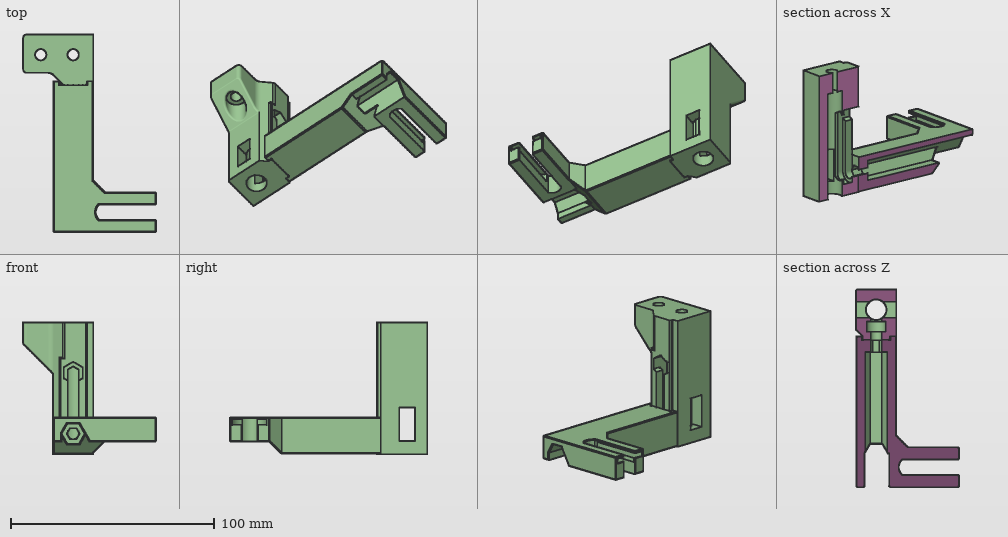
import cadquery as cq
import math

TOTAL_X = 65.5
TOTAL_Y = 97.5
POST_HEIGHT = 65.0

POST_WIDTH = 20.0
POST_RIGHT = 34.7
POST_LEFT = POST_RIGHT - POST_WIDTH
POST_CENTER = POST_RIGHT - POST_WIDTH / 2
SHOULDER_Y = -23.1
TONGUE_FRONT = -25.1
TONGUE_HALF = 6.8
TONGUE_CHAMFER = 0.7
KEY_TOP = POST_HEIGHT - 17.3
FLANGE_FRONT = -19.0
FLANGE_SIDE_HEIGHT = 10.5
FLANGE_CORNER_RADIUS = 1.95
NECK_RADIUS = 4.0
NECK_END = POST_LEFT + 0.4
SLOPE_FILLET = 1.0
MOUTH_FILLET = 1.0

HOLE_PITCH = 16.0
HOLE_Y = -10.0
HOLE_DIAMETER = 5.5
COUNTERBORE_DIAMETER = 10.0
HOLE_XS = (POST_CENTER - HOLE_PITCH, POST_CENTER)

WINDOW_WIDTH = 7.7
WINDOW_BOTTOM = 6.6
WINDOW_HEIGHT = 16.4

BOLT_Z = 10.1
BOLT_TRAVEL = 30.0
BOLT_SLOT = 5.5
NUT_FLATS = 9.4
NUT_LIP = 4.3
NUT_CHANNEL_DEPTH = 4.9
HEAD_FLATS = 9.9
HEAD_SEAT_WALL = 5.85
SEAT_Y = TONGUE_FRONT - HEAD_SEAT_WALL

FIT_GAP = 0.2
ARM_LEFT = POST_LEFT + FIT_GAP
ARM_RIGHT = POST_RIGHT - FIT_GAP
ARM_BOTTOM = FIT_GAP
ARM_TOP = 18.2
ARM_FRONT = -TOTAL_Y
ARM_CHAMFER = 0.5
SLOPE_RIM_DEPTH = 2 * ARM_CHAMFER
GROOVE_HALF = TONGUE_HALF + FIT_GAP

FORK_WIDTH = 19.8
FORK_BACK = ARM_FRONT + FORK_WIDTH
FORK_CENTER = ARM_FRONT + FORK_WIDTH / 2
FORK_BOTTOM = 6.2
WEB_LEG = 5.85
STEP_START = FORK_BACK + WEB_LEG
FOOT_LIMIT = FORK_BACK - 2.9
FORK_SLOT_WIDTH = 7.5
FORK_SLOT_END = 35.9
FORK_SLOT_END_RADIUS = 5.0

POCKET_HALF = 8.5
POCKET_ARC_X = 46.9
POCKET_FLOOR = 12.5
POCKET_ROOF = 17.2
STOP_THICKNESS = 0.9
STOP_TOP = 14.5


def box(x0, x1, y0, y1, z0, z1):
    """Axis-aligned block between two corners."""
    return cq.Workplane("XY").box(x1 - x0, y1 - y0, z1 - z0, centered=False).translate((x0, y0, z0))


def hexagon(across_flats, turn):
    """Corner points of a hexagon whose first corner lies at the angle turn, in degrees."""
    radius = across_flats / math.sqrt(3)
    angles = [math.radians(turn + 60 * i) for i in range(6)]
    return [(radius * math.cos(a), radius * math.sin(a)) for a in angles]


def near(point):
    """Selector of the edge whose centre is closest to a point."""
    return cq.selectors.NearestToPointSelector(point)


def along_y(y_front, x, z):
    """Workplane facing the front, so that negative extrusions run towards the back."""
    return cq.Workplane(cq.Plane(origin=(x, y_front, z), xDir=(1, 0, 0), normal=(0, -1, 0)))


def bolt_track(width, y_front, depth):
    """Upright slot with a round lower end and a peaked roof."""
    half = width / 2
    shoulder = BOLT_TRAVEL + half * math.tan(math.radians(30))
    peak = BOLT_TRAVEL + width / math.sqrt(3)
    return (
        along_y(y_front, POST_CENTER, BOLT_Z)
        .moveTo(-half, 0)
        .threePointArc((0, -half), (half, 0))
        .lineTo(half, shoulder)
        .lineTo(0, peak)
        .lineTo(-half, shoulder)
        .close()
        .extrude(-depth)
    )


def post_outline():
    """Plan of the post: flange, 45-degree neck and tongue."""
    mid_bend = math.radians(22.5)
    full_bend = math.radians(45)
    arc_start = NECK_END - NECK_RADIUS * math.sin(full_bend)
    arc_mid_x = arc_start + NECK_RADIUS * math.sin(mid_bend)
    arc_mid_y = FLANGE_FRONT - NECK_RADIUS * (1 - math.cos(mid_bend))
    arc_end_y = FLANGE_FRONT - NECK_RADIUS * (1 - math.cos(full_bend))
    diagonal_end_x = NECK_END + arc_end_y - TONGUE_FRONT
    return (
        cq.Workplane("XY")
        .lineTo(POST_RIGHT, 0)
        .lineTo(POST_RIGHT, SHOULDER_Y)
        .lineTo(POST_CENTER + TONGUE_HALF, SHOULDER_Y)
        .lineTo(POST_CENTER + TONGUE_HALF, TONGUE_FRONT)
        .lineTo(diagonal_end_x, TONGUE_FRONT)
        .lineTo(NECK_END, arc_end_y)
        .threePointArc((arc_mid_x, arc_mid_y), (arc_start, FLANGE_FRONT))
        .lineTo(0, FLANGE_FRONT)
        .close()
    )


def post_block():
    """Solid post with the flange sloping back to the post at 45 degrees underneath."""
    slope_top = POST_HEIGHT - FLANGE_SIDE_HEIGHT
    below_flange = (
        along_y(TONGUE_FRONT, 0, 0)
        .polyline([(0, 0), (POST_LEFT, 0), (POST_LEFT, slope_top - POST_LEFT), (0, slope_top)])
        .close()
        .extrude(TONGUE_FRONT)
    )
    block = post_outline().extrude(POST_HEIGHT).edges("|Z and <X").fillet(FLANGE_CORNER_RADIUS)
    block = block.cut(below_flange)
    slope_edges = block.faces(cq.selectors.ParallelDirSelector(cq.Vector(1, 0, 1))).edges()
    back_edge = block.edges(near((POST_LEFT, 0, POST_LEFT)))
    return block.newObject(slope_edges.vals() + back_edge.vals()).fillet(SLOPE_FILLET)


def tongue_key():
    """Corner block that squares off the lower length of the tongue."""
    left = POST_CENTER - TONGUE_HALF
    return box(left, POST_CENTER, TONGUE_FRONT, SHOULDER_Y, 0, KEY_TOP)


def mounting_holes():
    """Screw holes through the flange, each counterbored from below."""
    points = [(x, HOLE_Y) for x in HOLE_XS]
    through = cq.Workplane("XY").pushPoints(points).circle(HOLE_DIAMETER / 2).extrude(POST_HEIGHT)
    counterbore_top = POST_HEIGHT - FLANGE_SIDE_HEIGHT
    heads = cq.Workplane("XY").pushPoints(points).circle(COUNTERBORE_DIAMETER / 2).extrude(counterbore_top)
    return through.union(heads)


def nut_channel():
    """Slot for the bolt, a wider channel for its nut and the opening that admits the nut."""
    slot = bolt_track(BOLT_SLOT, TONGUE_FRONT, HOLE_Y - TONGUE_FRONT)
    channel = bolt_track(NUT_FLATS, TONGUE_FRONT + NUT_LIP, NUT_CHANNEL_DEPTH)
    opening = (
        along_y(TONGUE_FRONT, POST_CENTER, BOLT_Z + BOLT_TRAVEL)
        .polyline(hexagon(NUT_FLATS, 30))
        .close()
        .extrude(-NUT_LIP)
    )
    return slot.union(channel).union(opening)


def side_window():
    """Rectangular window through the post from side to side."""
    half = WINDOW_WIDTH / 2
    window_top = WINDOW_BOTTOM + WINDOW_HEIGHT
    return box(0, POST_RIGHT, HOLE_Y - half, HOLE_Y + half, WINDOW_BOTTOM, window_top)


def build_post():
    """Post with its flange, tongue, holes, nut channel and window."""
    post = post_block().union(tongue_key())
    front_edges = post.faces("<Y").edges("not (<Z or >Z)")
    post = post.newObject(front_edges.vals()).chamfer(TONGUE_CHAMFER)
    post = post.cut(mounting_holes())
    mouth_z = POST_HEIGHT - FLANGE_SIDE_HEIGHT - HOLE_XS[0]
    post = post.edges(near((HOLE_XS[0], HOLE_Y, mouth_z))).fillet(MOUTH_FILLET)
    return post.cut(nut_channel()).cut(side_window())


def underside_step(top):
    """Space below the given height in front of the 45-degree underside slope."""
    rise = top - ARM_BOTTOM
    return (
        cq.Workplane("YZ")
        .polyline([
            (ARM_FRONT, ARM_BOTTOM),
            (STEP_START, ARM_BOTTOM),
            (STEP_START - rise, top),
            (ARM_FRONT, top),
        ])
        .close()
        .extrude(TOTAL_X)
    )


def arm_plate():
    """L-shaped upper layer of the arm with a 45-degree web, chamfered along its outer edges."""
    plate = (
        cq.Workplane("XY", origin=(0, 0, FORK_BOTTOM))
        .polyline([
            (ARM_LEFT, SHOULDER_Y),
            (ARM_RIGHT, SHOULDER_Y),
            (ARM_RIGHT, FORK_BACK + WEB_LEG),
            (ARM_RIGHT + WEB_LEG, FORK_BACK),
            (TOTAL_X, FORK_BACK),
            (TOTAL_X, ARM_FRONT),
            (ARM_LEFT, ARM_FRONT),
        ])
        .close()
        .extrude(ARM_TOP - FORK_BOTTOM)
    )
    corners = plate.edges("|Z and (<Y or >X)")
    rims = plate.faces("<Z or >Z").edges("not >Y")
    return plate.newObject(corners.vals() + rims.vals()).chamfer(ARM_CHAMFER)


def arm_foot():
    """Deeper part of the arm behind the fork, ending in a 45-degree slope."""
    foot_top = FORK_BOTTOM + ARM_CHAMFER
    reach = FORK_BACK + WEB_LEG - FOOT_LIMIT
    foot = (
        cq.Workplane("XY", origin=(0, 0, ARM_BOTTOM))
        .polyline([
            (ARM_LEFT, SHOULDER_Y),
            (ARM_RIGHT, SHOULDER_Y),
            (ARM_RIGHT, FORK_BACK + WEB_LEG),
            (ARM_RIGHT + reach, FOOT_LIMIT),
            (ARM_LEFT, FOOT_LIMIT),
        ])
        .close()
        .extrude(foot_top - ARM_BOTTOM)
        .cut(underside_step(foot_top))
    )
    slope_edges = foot.faces("<Y").edges("not >Z")
    bottom_edges = foot.faces("<Z").edges("not (>Y or <Y)")
    return foot.newObject(slope_edges.vals() + bottom_edges.vals()).chamfer(ARM_CHAMFER)


def head_passage():
    """Hexagonal passage from the front to the seat of the bolt head."""
    return (
        along_y(ARM_FRONT, POST_CENTER, BOLT_Z)
        .polyline(hexagon(HEAD_FLATS, 0))
        .close()
        .extrude(ARM_FRONT - SEAT_Y)
    )


def trough_outline(y_front):
    """Front outline of the trough: upper half hexagon, one upright wall and one flared wall."""
    corner = HEAD_FLATS / math.sqrt(3)
    flare = BOLT_Z / math.tan(math.radians(60))
    return (
        along_y(y_front, POST_CENTER, BOLT_Z)
        .polyline([
            (-corner, 0),
            (-corner / 2, HEAD_FLATS / 2),
            (corner / 2, HEAD_FLATS / 2),
            (corner + flare, -BOLT_Z),
            (-corner, -BOLT_Z),
        ])
        .close()
    )


def head_trough():
    """Trough open downwards in front of the underside slope, with a chamfered front rim."""
    trough = trough_outline(ARM_FRONT).extrude(ARM_FRONT).intersect(underside_step(BOLT_Z))
    rim = trough_outline(ARM_FRONT + ARM_CHAMFER).extrude(ARM_CHAMFER, taper=-45)
    return trough.union(rim)


def slope_rim():
    """Chamfer where the lower half of the hexagonal passage leaves the underside slope."""

    def half_hexagon(grow, shift):
        drop = HEAD_FLATS / 2 + grow
        corner = drop * 2 / math.sqrt(3)
        points = [(-corner, 0), (corner, 0), (corner / 2, -drop), (-corner / 2, -drop)]
        slope_y = STEP_START + ARM_BOTTOM - BOLT_Z + shift
        return cq.Wire.makePolygon(
            [cq.Vector(POST_CENTER + x, slope_y - z, BOLT_Z + z) for x, z in points], close=True
        )

    wires = [half_hexagon(ARM_CHAMFER, 0), half_hexagon(0, SLOPE_RIM_DEPTH)]
    return cq.Workplane(cq.Solid.makeLoft(wires, True))


def bolt_hole():
    """Hexagonal hole for the bolt shank along the whole arm."""
    return (
        along_y(ARM_FRONT, POST_CENTER, BOLT_Z)
        .polyline(hexagon(BOLT_SLOT, 0))
        .close()
        .extrude(ARM_FRONT)
    )


def fork_slot_outline(grow, height):
    """Outline of the slot between the prongs, widened all round by grow."""
    half = FORK_SLOT_WIDTH / 2 + grow
    radius = FORK_SLOT_END_RADIUS + grow
    end_x = FORK_SLOT_END - grow
    arc_x = end_x + radius - math.sqrt(radius**2 - half**2)
    flare = 2 * ARM_CHAMFER
    return (
        cq.Workplane("XY", origin=(0, FORK_CENTER, height))
        .moveTo(arc_x, half)
        .threePointArc((end_x, 0), (arc_x, -half))
        .lineTo(TOTAL_X - ARM_CHAMFER, -half)
        .lineTo(TOTAL_X + ARM_CHAMFER, -half - flare)
        .lineTo(TOTAL_X + ARM_CHAMFER, half + flare)
        .lineTo(TOTAL_X - ARM_CHAMFER, half)
        .close()
    )


def fork_slot():
    """Slot between the prongs, ending in a shallow arc, with a chamfered upper rim."""
    slot = fork_slot_outline(0, 0).extrude(ARM_TOP)
    rim = fork_slot_outline(ARM_CHAMFER, ARM_TOP).extrude(-ARM_CHAMFER, taper=45)
    return slot.union(rim)


def fork_pocket():
    """Wider pocket inside the fork, closed at the tip by a low stop."""
    height = POCKET_ROOF - POCKET_FLOOR
    y0 = FORK_CENTER - POCKET_HALF
    y1 = FORK_CENTER + POCKET_HALF
    arc_origin = (POCKET_ARC_X, FORK_CENTER, POCKET_FLOOR)
    arc = cq.Workplane("XY", origin=arc_origin).circle(POCKET_HALF).extrude(height)
    straight = box(POCKET_ARC_X, TOTAL_X - STOP_THICKNESS, y0, y1, POCKET_FLOOR, POCKET_ROOF)
    mouth = box(POCKET_ARC_X, TOTAL_X, y0, y1, STOP_TOP, POCKET_ROOF)
    return arc.union(straight).union(mouth)


def tongue_groove():
    """Groove in the back of the arm that takes the tongue of the post."""
    left = POST_CENTER - GROOVE_HALF
    right = POST_CENTER + GROOVE_HALF
    return box(left, right, TONGUE_FRONT, SHOULDER_Y, ARM_BOTTOM, ARM_TOP)


def build_arm():
    """Arm with its fork, bolt passage and tongue groove."""
    arm = arm_plate().union(arm_foot()).cut(fork_slot())
    arm = arm.cut(head_passage()).cut(head_trough()).cut(slope_rim())
    return arm.cut(bolt_hole()).cut(fork_pocket()).cut(tongue_groove())


post = build_post()
arm = build_arm()
result = cq.Compound.makeCompound([post.val(), arm.val()])